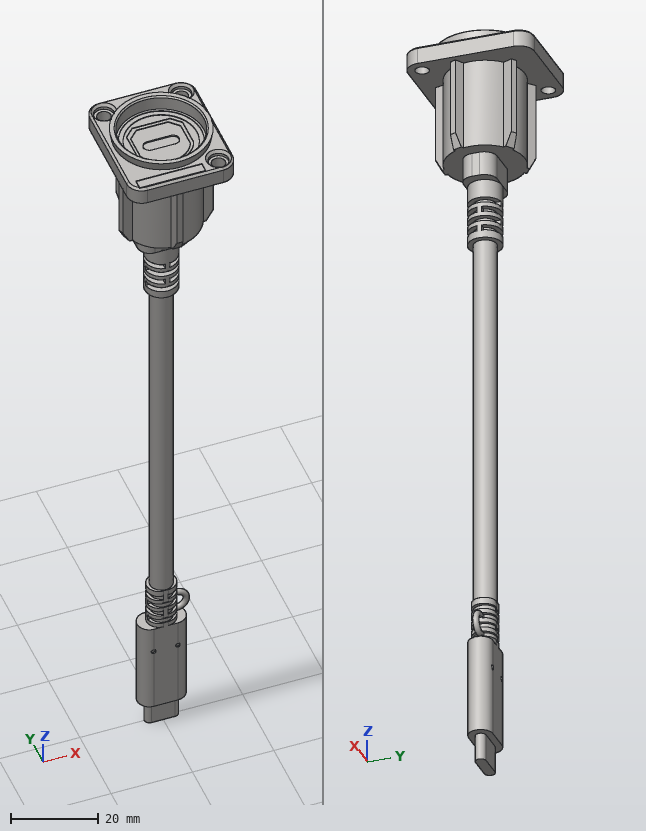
import cadquery as cq
import math

total_height = 186.3
overlap = 1.0

plate_width = 26.0
plate_depth = 31.0
plate_bottom = 179.6
plate_top = 184.0
plate_corner_radius = 3.7
plate_edge_chamfer = 0.5
screw_x = 9.5
screw_y = 12.0
screw_hole_radius = 1.7
countersink_radius = 3.0
countersink_depth = 0.7
counterbore_radius = 2.5
counterbore_depth = 1.5
blind_hole_depth = 2.8
label_width = 16.2
label_height = 2.5
label_x = -2.8
label_y = -13.5
label_recess = 0.2

collar_radius = 12.0
collar_neck_radius = 11.5
bore_radius = 10.5
bore_rim_chamfer = 0.4
bore_depth = 4.1
bore_step_radius = 9.9
bore_step_depth = 4.0
floor_ring_radius = 8.8
floor_step = 0.2
window_radius = 7.5
window_half_width = 6.9
window_top = 6.5
window_corner = 2.2
window_ledge = 0.7
port_width = 8.8
port_height = 3.0
port_depth = 0.4

shell_bottom = 157.5
shell_radius = 9.7
rib_count = 5
rib_radius = 12.0
rib_root_width = 3.0
rib_tip_width = 1.5
rib_foot_radius = 10.2
rib_foot_height = 3.2

block_bottom = 151.5
block_width = 12.7
block_depth = 8.2
block_corner_radius = 3.2
sleeve_bottom = 136.4
sleeve_radius = 4.1
sleeve_first_groove = 146.2
sleeve_groove_pitch = 2.5

cable_radius = 2.8
relief_top = 42.5
relief_width = 7.3
relief_first_groove = 40.2
relief_groove_pitch = 2.5
groove_count = 4
groove_height = 1.3
groove_web = 1.1

plug_bottom = 6.7
plug_top = 31.1
plug_width = 12.0
plug_thickness = 6.0
dimple_height = 24.0
dimple_radius = 0.5
dimple_depth = 0.4
tip_width = 8.4
tip_thickness = 2.6

loop_x = 3.7
loop_z = 35.5
loop_radius = 2.5
loop_wire_radius = 0.7


def cylinder(radius, bottom, top):
    return cq.Workplane("XY", origin=(0, 0, bottom)).circle(radius).extrude(top - bottom)


def cone(bottom_radius, top_radius, bottom, top):
    base = cq.Workplane("XY", origin=(0, 0, bottom)).circle(bottom_radius)
    return base.workplane(offset=top - bottom).circle(top_radius).loft()


def rounded_bar(width, depth, radius, bottom, top):
    bar = cq.Workplane("XY", origin=(0, 0, bottom)).rect(width, depth).extrude(top - bottom)
    return bar.edges("|Z").fillet(radius)


def stadium_bar(width, thickness, bottom, top):
    return cq.Workplane("XY", origin=(0, 0, bottom)).slot2D(width, thickness).extrude(top - bottom)


def flange():
    plate = rounded_bar(plate_width, plate_depth, plate_corner_radius, plate_bottom, plate_top)
    return plate.faces(">Z").edges().chamfer(plate_edge_chamfer)


def screw_hole(x, y, depth):
    bottom = plate_top - depth
    hole = cylinder(screw_hole_radius, bottom, plate_top)
    bore = cylinder(counterbore_radius, plate_top - counterbore_depth, plate_top)
    sink = cone(counterbore_radius, countersink_radius, plate_top - countersink_depth, plate_top)
    return hole.union(bore).union(sink).translate((x, y, 0))


def collar():
    """Collar that flares from its neck at the plate to its rim."""
    neck = cylinder(collar_neck_radius, plate_top - overlap, plate_top)
    return neck.union(cone(collar_neck_radius, collar_radius, plate_top, total_height))


def window(inset, bottom, top):
    """Round opening with straight sides, a flat top and bevelled upper corners."""
    radius = window_radius - inset
    half_width = window_half_width - inset
    flat_top = window_top - inset
    side_bottom = -math.sqrt(radius**2 - half_width**2)
    outline = (
        cq.Workplane("XY", origin=(0, 0, bottom))
        .moveTo(-half_width, side_bottom)
        .threePointArc((0, -radius), (half_width, side_bottom))
        .lineTo(half_width, flat_top - window_corner)
        .lineTo(half_width - window_corner, flat_top)
        .lineTo(window_corner - half_width, flat_top)
        .lineTo(-half_width, flat_top - window_corner)
        .close()
    )
    return outline.extrude(top - bottom)


def socket_cavity():
    floor = total_height - bore_depth
    ring_floor = floor - floor_step
    ledge_floor = ring_floor - floor_step
    face = ledge_floor - floor_step
    cavity = cylinder(bore_radius, total_height - bore_step_depth, total_height)
    rim_bottom = total_height - bore_rim_chamfer
    cavity = cavity.union(cone(bore_radius, bore_radius + bore_rim_chamfer, rim_bottom, total_height))
    cavity = cavity.union(cylinder(bore_step_radius, floor, total_height))
    cavity = cavity.union(cylinder(floor_ring_radius, ring_floor, total_height))
    cavity = cavity.union(window(0, ledge_floor, total_height))
    cavity = cavity.union(window(window_ledge, face, total_height))
    return cavity.union(stadium_bar(port_width, port_height, face - port_depth, total_height))


def ribbed_shell():
    shell = cylinder(shell_radius, shell_bottom, plate_bottom + overlap)
    root_x = shell_radius - overlap
    rib = (
        cq.Workplane("XY", origin=(0, 0, shell_bottom))
        .polyline([
            (root_x, -rib_root_width / 2),
            (rib_radius, -rib_tip_width / 2),
            (rib_radius, rib_tip_width / 2),
            (root_x, rib_root_width / 2),
        ])
        .close()
        .extrude(plate_bottom + overlap - shell_bottom)
    )
    foot_cut = (
        cq.Workplane("XZ")
        .polyline([
            (rib_foot_radius, shell_bottom),
            (rib_radius, shell_bottom),
            (rib_radius, shell_bottom + rib_foot_height),
        ])
        .close()
        .extrude(rib_root_width / 2, both=True)
    )
    rib = rib.cut(foot_cut)
    for i in range(rib_count):
        shell = shell.union(rib.rotate((0, 0, 0), (0, 0, 1), i * 360 / rib_count - 90))
    return shell


def grooves(first_height, pitch):
    """Rings around the cable, each split by two webs that turn a quarter from ring to ring."""
    reach = 2 * sleeve_radius
    cutters = cq.Workplane("XY")
    for i in range(groove_count):
        bottom = first_height - i * pitch - groove_height / 2
        ring = cylinder(reach, bottom, bottom + groove_height)
        ring = ring.cut(cylinder(cable_radius, bottom, bottom + groove_height))
        web = cq.Workplane("XY", origin=(0, 0, bottom)).rect(groove_web, 2 * reach).extrude(groove_height)
        web = web.rotate((0, 0, 0), (0, 0, 1), 90 * (i % 2))
        cutters = cutters.add(ring.cut(web))
    return cutters.combine()


def upper_sleeve():
    sleeve = cylinder(sleeve_radius, sleeve_bottom, block_bottom + overlap)
    return sleeve.cut(grooves(sleeve_first_groove, sleeve_groove_pitch))


def lower_relief():
    relief = stadium_bar(relief_width, plug_thickness, plug_top - overlap, relief_top)
    return relief.cut(grooves(relief_first_groove, relief_groove_pitch))


def plug():
    body = stadium_bar(plug_width, plug_thickness, plug_bottom, plug_top)
    dimple_x = (plug_width - plug_thickness) / 2
    for side in (-1, 1):
        face_y = side * plug_thickness / 2
        dimples = (
            cq.Workplane("XZ", origin=(0, face_y, dimple_height))
            .pushPoints([(-dimple_x, 0), (dimple_x, 0)])
            .circle(dimple_radius)
            .extrude(dimple_depth, both=True)
        )
        body = body.cut(dimples)
    return body.union(stadium_bar(tip_width, tip_thickness, 0, plug_bottom + overlap))


def tie_loop():
    loop = cq.Solid.makeTorus(loop_radius, loop_wire_radius, cq.Vector(loop_x, 0, loop_z), cq.Vector(0, 1, 0))
    return cq.Workplane(loop)


block = rounded_bar(block_width, block_depth, block_corner_radius, block_bottom, shell_bottom + overlap)
cable = cylinder(cable_radius, plug_top - overlap, block_bottom + overlap)

connector = flange().union(collar()).union(ribbed_shell())
connector = connector.cut(socket_cavity())

plate_thickness = plate_top - plate_bottom
connector = connector.cut(screw_hole(-screw_x, screw_y, plate_thickness))
connector = connector.cut(screw_hole(screw_x, -screw_y, plate_thickness))
connector = connector.cut(screw_hole(screw_x, screw_y, blind_hole_depth))

label = cq.Workplane("XY", origin=(label_x, label_y, plate_top)).rect(label_width, label_height)
connector = connector.cut(label.extrude(-label_recess))

result = connector.union(block).union(upper_sleeve()).union(cable)
result = result.union(lower_relief()).union(plug()).union(tie_loop())